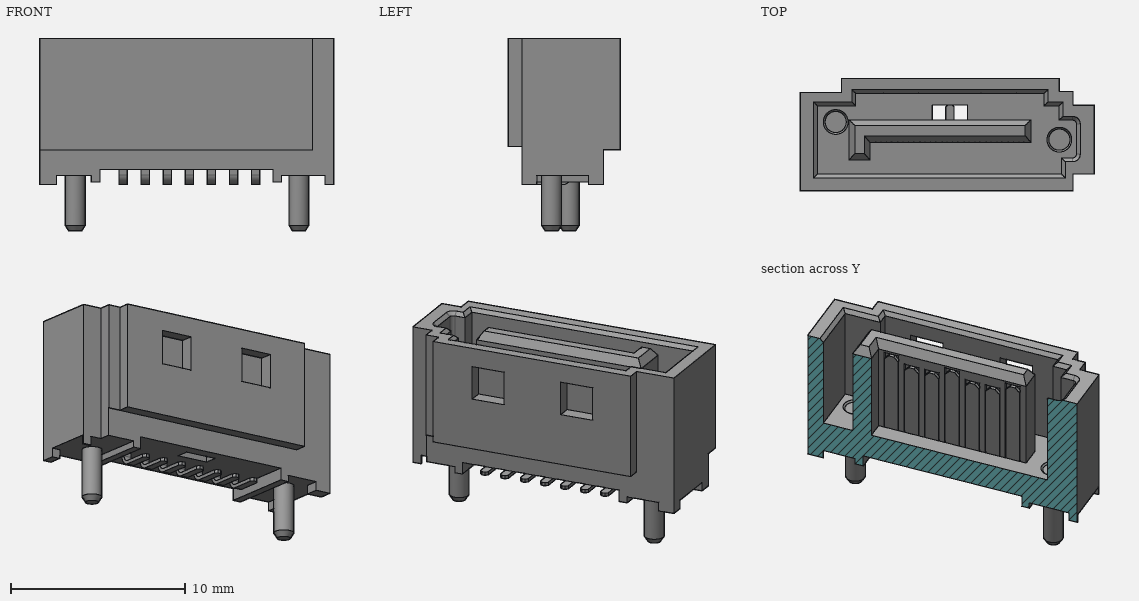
import cadquery as cq


LENGTH = 16.9
DEPTH = 6.45
HEIGHT = 8.4
FRONT_SHOULDER_Z = 2.0
BACK_SHOULDER_Z = 2.18
BASE_FRONT = 0.96
BASE_BACK = 5.66
EAR_X = 15.68
EAR_BACK = 4.92
BACK_BAND_LEFT = 2.37
BACK_BAND_RIGHT = 14.89
BACK_STEP = 5.71

FLOOR_Z = 2.5
RIM_CHAMFER = 0.22
KEY_CORNER_RADIUS = 0.44
CAVITY_FRONT = 0.75
CAVITY_LEFT = 0.78
CAVITY_SHELF = 5.1
CAVITY_BACK = 5.81
CAVITY_BACK_LEFT = 2.97
CAVITY_BACK_RIGHT = 14.23
CAVITY_SHELF_RIGHT = 15.1
CAVITY_FRONT_RIGHT = 15.23
KEY_RIGHT = 16.09
KEY_FRONT = 1.67
KEY_BACK = 4.28

BLADE_LEFT = 2.82
BLADE_RIGHT = 13.25
BLADE_FRONT = 2.79
BLADE_BACK = 4.07
LEG_FRONT = 1.77
LEG_RIGHT = 4.0
BLADE_BEVEL_HEIGHT = 0.49
BLADE_SIDE_BEVEL = 0.32
BLADE_FRONT_BEVEL = 0.37

CONTACT_COUNT = 7
CONTACT_PITCH = 1.27
CONTACT_MIDDLE_X = 8.6
LONG_CONTACTS = (0, 3, 6)
LONG_SLOT_TOP = HEIGHT - 0.63
SHORT_SLOT_TOP = HEIGHT - 1.1
SLOT_WIDTH = 0.93
SLOT_SIDE_GAP = 0.03
CONTACT_THICKNESS = 0.2
CONTACT_TOP_GAP = 0.17
CONTACT_TOP_CHAMFER = 0.27
TAIL_WIDTH = 0.49
TAIL_BEND_RADIUS = 0.55
TAIL_END = 4.97
TAIL_TIP_CHAMFER = 0.15

WINDOW_WIDTH = 2.01
BACK_WINDOW_TOP = HEIGHT - 1.13
BACK_WINDOW_OFFSET = 2.8
FLOOR_WINDOW_BACK = 4.92

CHANNEL_LEFT = 3.48
CHANNEL_RIGHT = 13.4
CHANNEL_Z = 0.86
RELIEF_Z = 0.52
RELIEF_SPANS = ((0.98, 2.95), (13.9, 16.38))
INNER_FOOT_Z = 0.15
FOOT_NOTCH_FRONT = 1.85
FOOT_NOTCH_BACK = 4.8

PEGS = ((2.05, 3.95, 1.17), (14.89, 2.94, 1.15))
PEG_LENGTH = 2.65
PEG_TIP_HEIGHT = 0.32
PEG_TIP_INSET = 0.2
DIMPLE_TOP_DIAMETER = 1.42
DIMPLE_INSET = 0.1


def box(x0, x1, y0, y1, z0, z1):
    """Box given by its limits along each axis."""
    return cq.Workplane("XY").box(x1 - x0, y1 - y0, z1 - z0, centered=False).translate((x0, y0, z0))


def prism(points, z0, z1):
    """Polygon in plan raised from z0 to z1."""
    return cq.Workplane("XY").workplane(offset=z0).polyline(points).close().extrude(z1 - z0)


def make_housing():
    base = prism(
        [
            (0, BASE_FRONT),
            (LENGTH, BASE_FRONT),
            (LENGTH, EAR_BACK),
            (EAR_X, EAR_BACK),
            (EAR_X, BASE_BACK),
            (0, BASE_BACK),
        ],
        0, HEIGHT,
    )
    front_wall = box(0, EAR_X, 0, BASE_FRONT, FRONT_SHOULDER_Z, HEIGHT)
    back_band = box(BACK_BAND_LEFT, BACK_BAND_RIGHT, EAR_BACK, DEPTH, BACK_SHOULDER_Z, HEIGHT)
    back_step = box(BACK_BAND_LEFT, EAR_X, EAR_BACK, BACK_STEP, BACK_SHOULDER_Z, HEIGHT)
    return base.union(front_wall).union(back_band).union(back_step)


def cavity_section(inset, z):
    """Cavity outline moved inward by inset, with the two key corners rounded."""
    front = CAVITY_FRONT + inset
    shelf = CAVITY_SHELF - inset
    key_front = KEY_FRONT + inset
    key_back = KEY_BACK - inset
    key_right = KEY_RIGHT - inset
    corner = KEY_CORNER_RADIUS - inset
    outline = [
        (CAVITY_LEFT + inset, front),
        (CAVITY_FRONT_RIGHT - inset, front),
        (CAVITY_FRONT_RIGHT - inset, key_front),
        (key_right - corner, key_front),
    ]
    back_outline = [
        (CAVITY_SHELF_RIGHT - inset, key_back),
        (CAVITY_SHELF_RIGHT - inset, shelf),
        (CAVITY_BACK_RIGHT - inset, shelf),
        (CAVITY_BACK_RIGHT - inset, CAVITY_BACK - inset),
        (CAVITY_BACK_LEFT + inset, CAVITY_BACK - inset),
        (CAVITY_BACK_LEFT + inset, shelf),
        (CAVITY_LEFT + inset, shelf),
    ]
    sketch = cq.Workplane("XY").workplane(offset=z).polyline(outline)
    sketch = sketch.radiusArc((key_right, key_front + corner), -corner)
    sketch = sketch.lineTo(key_right, key_back - corner)
    sketch = sketch.radiusArc((key_right - corner, key_back), -corner)
    for point in back_outline:
        sketch = sketch.lineTo(*point)
    return sketch.close()


def make_cavity():
    bevel_z = HEIGHT - RIM_CHAMFER
    well = cavity_section(RIM_CHAMFER, FLOOR_Z).extrude(HEIGHT - FLOOR_Z)
    lower_wire = cavity_section(RIM_CHAMFER, bevel_z).val()
    upper_wire = cavity_section(0, HEIGHT).val()
    rim = cq.Solid.makeLoft([lower_wire, upper_wire], ruled=True)
    return well.union(cq.Workplane(obj=rim))


def blade_section(side_inset, front_inset, z):
    """L-shaped blade outline with its sides and front faces moved inward."""
    left = BLADE_LEFT + side_inset
    right = BLADE_RIGHT - side_inset
    leg_right = LEG_RIGHT - side_inset
    points = [
        (left, LEG_FRONT + front_inset),
        (leg_right, LEG_FRONT + front_inset),
        (leg_right, BLADE_FRONT + front_inset),
        (right, BLADE_FRONT + front_inset),
        (right, BLADE_BACK - side_inset),
        (left, BLADE_BACK - side_inset),
    ]
    return cq.Workplane("XY").workplane(offset=z).polyline(points).close()


def make_blade():
    bevel_z = HEIGHT - BLADE_BEVEL_HEIGHT
    body = blade_section(0, 0, CHANNEL_Z).extrude(bevel_z - CHANNEL_Z)
    lower_wire = blade_section(0, 0, bevel_z).val()
    upper_wire = blade_section(BLADE_SIDE_BEVEL, BLADE_FRONT_BEVEL, HEIGHT).val()
    bevel = cq.Solid.makeLoft([lower_wire, upper_wire], ruled=True)
    return body.union(cq.Workplane(obj=bevel))


def make_slot(x, slot_top):
    """Groove in the front face of the blade."""
    half = SLOT_WIDTH / 2
    return box(x - half, x + half, BLADE_FRONT, BLADE_FRONT + CONTACT_THICKNESS, FLOOR_Z, slot_top)


def make_contact(x, slot_top):
    """Contact strip with chamfered top corners and a narrower tail bent backwards under the housing."""
    half = SLOT_WIDTH / 2 - SLOT_SIDE_GAP
    strip = box(
        x - half, x + half,
        BLADE_FRONT, BLADE_FRONT + CONTACT_THICKNESS,
        FLOOR_Z, slot_top - CONTACT_TOP_GAP,
    )
    strip = strip.faces(">Z").edges("|Y").chamfer(CONTACT_TOP_CHAMFER)
    inner_radius = TAIL_BEND_RADIUS - CONTACT_THICKNESS
    bend_y = BLADE_FRONT + TAIL_BEND_RADIUS
    tail = (
        cq.Workplane("YZ", origin=(x - TAIL_WIDTH / 2, 0, 0))
        .moveTo(BLADE_FRONT, FLOOR_Z)
        .lineTo(BLADE_FRONT, TAIL_BEND_RADIUS)
        .radiusArc((bend_y, 0), -TAIL_BEND_RADIUS)
        .lineTo(TAIL_END, 0)
        .lineTo(TAIL_END, CONTACT_THICKNESS)
        .lineTo(bend_y, CONTACT_THICKNESS)
        .radiusArc((BLADE_FRONT + CONTACT_THICKNESS, TAIL_BEND_RADIUS), inner_radius)
        .lineTo(BLADE_FRONT + CONTACT_THICKNESS, FLOOR_Z)
        .close()
        .extrude(TAIL_WIDTH)
        .faces(">Y").edges("|Z").chamfer(TAIL_TIP_CHAMFER)
    )
    return strip.union(tail)


def cut_windows(body):
    """Two latch windows through the back wall and one opening through the floor."""
    half = WINDOW_WIDTH / 2
    for side in (-1, 1):
        x = CONTACT_MIDDLE_X + side * BACK_WINDOW_OFFSET
        bottom = BACK_WINDOW_TOP - WINDOW_WIDTH
        body = body.cut(box(x - half, x + half, FLOOR_WINDOW_BACK, DEPTH, bottom, BACK_WINDOW_TOP))
    left = CONTACT_MIDDLE_X - half
    right = CONTACT_MIDDLE_X + half
    return body.cut(box(left, right, BLADE_BACK, FLOOR_WINDOW_BACK, 0, FLOOR_Z))


def cut_underside(body):
    """Contact channel, reliefs around the pegs, shortened inner feet and notched outer feet."""
    body = body.cut(box(CHANNEL_LEFT, CHANNEL_RIGHT, 0, DEPTH, 0, CHANNEL_Z))
    for left, right in RELIEF_SPANS:
        body = body.cut(box(left, right, 0, DEPTH, 0, RELIEF_Z))
    first_relief_right = RELIEF_SPANS[0][1]
    second_relief_left = RELIEF_SPANS[1][0]
    body = body.cut(box(first_relief_right, second_relief_left, 0, DEPTH, 0, INNER_FOOT_Z))
    for left, right in ((0, RELIEF_SPANS[0][0]), (RELIEF_SPANS[1][1], LENGTH)):
        body = body.cut(box(left, right, FOOT_NOTCH_FRONT, FOOT_NOTCH_BACK, 0, RELIEF_Z))
    return body


def make_peg(x, y, diameter):
    tip_z = -PEG_LENGTH
    peg = cq.Workplane("XY", origin=(x, y, tip_z)).circle(diameter / 2).extrude(PEG_LENGTH + RELIEF_Z)
    return peg.faces("<Z").chamfer(PEG_TIP_HEIGHT, PEG_TIP_INSET)


def make_dimple(x, y):
    """Shallow conical recess in the cavity floor above a peg."""
    top_radius = DIMPLE_TOP_DIAMETER / 2
    cone = cq.Solid.makeCone(
        top_radius - DIMPLE_INSET, top_radius, DIMPLE_INSET,
        cq.Vector(x, y, FLOOR_Z - DIMPLE_INSET),
    )
    return cq.Workplane(obj=cone)


result = make_housing().cut(make_cavity())
result = cut_windows(result)
result = cut_underside(result)
for peg_x, peg_y, _ in PEGS:
    result = result.cut(make_dimple(peg_x, peg_y))
result = result.union(make_blade())

for index in range(CONTACT_COUNT):
    contact_x = CONTACT_MIDDLE_X + (index - (CONTACT_COUNT - 1) / 2) * CONTACT_PITCH
    top = LONG_SLOT_TOP if index in LONG_CONTACTS else SHORT_SLOT_TOP
    result = result.cut(make_slot(contact_x, top))
    result = result.union(make_contact(contact_x, top))

for peg_x, peg_y, peg_diameter in PEGS:
    result = result.union(make_peg(peg_x, peg_y, peg_diameter))